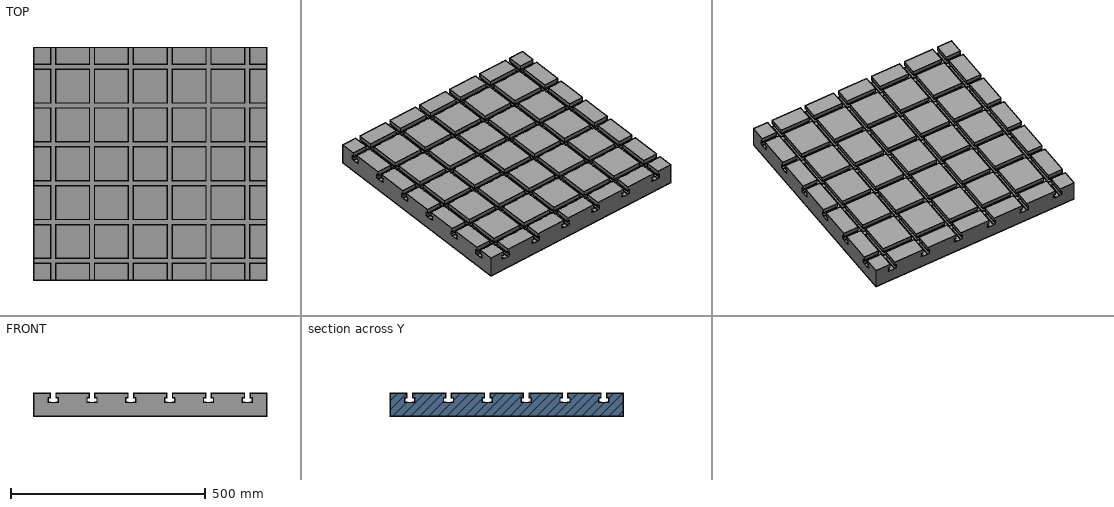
import cadquery as cq

plate_side = 600.0
plate_thickness = 60.0

slots_each_way = 6
slot_pitch = plate_side / slots_each_way
neck_width = 14.0
neck_depth = 12.0
head_width = 25.0
slot_depth = 23.0

relief_depth = 1.0


def t_slot():
    """T-slot cutter along Y, centred on x = 0, measured down from the plate top at z = 0."""
    half_neck = neck_width / 2
    half_head = head_width / 2
    half_relief_floor = half_neck - relief_depth
    relief_floor_depth = slot_depth + relief_depth
    right_side = [
        (half_neck, 0),
        (half_neck, -neck_depth),
        (half_head, -neck_depth),
        (half_head, -slot_depth),
        (half_neck, -slot_depth),
        (half_relief_floor, -relief_floor_depth),
    ]
    left_side = [(-x, z) for x, z in reversed(right_side)]
    profile = cq.Workplane("XZ").polyline(right_side + left_side).close()
    return profile.extrude(plate_side / 2, both=True)


plate = cq.Workplane("XY").box(plate_side, plate_side, plate_thickness, centered=(True, True, False))
result = plate.translate((0, 0, -plate_thickness))

first_slot = (slot_pitch - plate_side) / 2
for index in range(slots_each_way):
    slot = t_slot().translate((first_slot + index * slot_pitch, 0, 0))
    result = result.cut(slot)
    result = result.cut(slot.rotate((0, 0, 0), (0, 0, 1), 90))